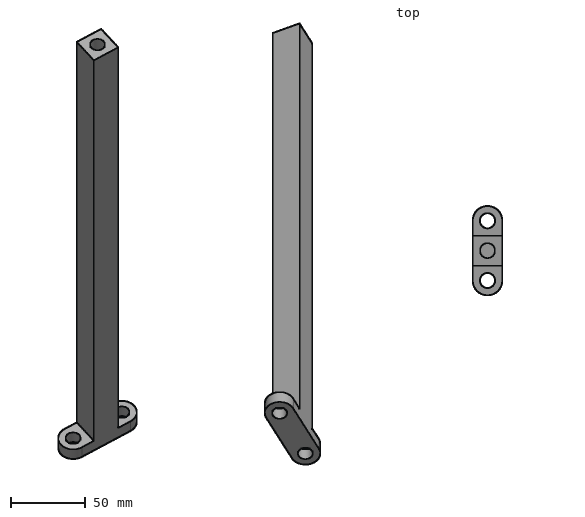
import cadquery as cq

height = 400.0
bar_width = 20.0
foot_length = 60.0
foot_thickness = 10.0
hole_diameter = 10.0
top_hole_depth = 20.0

hole_spacing = foot_length - bar_width


def make_foot():
    """Round-ended mounting foot, long along Y, resting on Z = 0."""
    return cq.Workplane("XY").slot2D(foot_length, bar_width, 90).extrude(foot_thickness)


def make_bar():
    """Square upright bar standing at the middle of the foot."""
    return cq.Workplane("XY").rect(bar_width, bar_width).extrude(height)


def make_mounting_holes():
    """Cutters for the two through holes in the foot."""
    return (
        cq.Workplane("XY")
        .rarray(4, hole_spacing, 1, 2)
        .circle(hole_diameter / 2)
        .extrude(foot_thickness)
    )


def make_top_hole():
    """Cutter for the blind hole in the top end of the bar."""
    return (
        cq.Workplane("XY")
        .workplane(offset=height - top_hole_depth)
        .circle(hole_diameter / 2)
        .extrude(top_hole_depth)
    )


result = make_foot().union(make_bar()).cut(make_mounting_holes()).cut(make_top_hole())